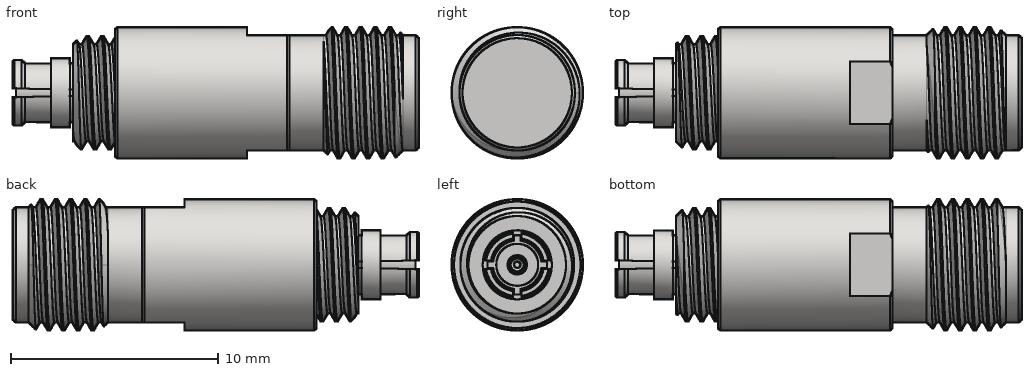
import cadquery as cq
import math


LENGTH = 19.61
BODY_RADIUS = 6.35 / 2

LIP_RADIUS = 3.20 / 2
LIP_BORE_RADIUS = 2.36 / 2
LIP_EDGE_CHAMFER = 0.08
LIP_BORE_CHAMFER = 0.10
LIP_LENGTH = 0.42
LIP_TAPER_END = 0.60
NECK_RADIUS = 2.87 / 2
RING_START = 1.84
RING_END = 2.76
RING_RADIUS = 3.34 / 2
FINGER_END = 2.91
SLOT_TIP_WIDTH = 0.42
SLOT_ROOT_WIDTH = 0.31
SLOT_COUNT = 4

INSULATOR_FRONT = 0.15
INSULATOR_RADIUS = 2.03 / 2
CONTACT_RADIUS = 0.93 / 2
CONTACT_TIP_RADIUS = 0.37
CONTACT_CHAMFER_DEPTH = 0.12
CONTACT_MOUTH_RADIUS = 0.32
CONTACT_HOLE_RADIUS = 0.15
CONTACT_CONE_DEPTH = 0.18
CONTACT_HOLE_DEPTH = 1.0

BODY_START = 4.93
BODY_END = 13.37
BODY_CHAMFER = 0.12
FLAT_START = 11.32

PITCH = 25.4 / 36
FLANK_ANGLE = 30
CREST_WIDTH = 0.10
THREAD_OVERLAP = 0.05
THREAD_RUNOUT = 0.50
ENVELOPE_CLEARANCE = 0.10

SMALL_THREAD_START = FINGER_END
SMALL_THREAD_END = BODY_START + PITCH
SMALL_THREAD_RADIUS = 5.50 / 2
SMALL_ROOT_RADIUS = 4.71 / 2
SMALL_CREST_X = 3.27

LARGE_THREAD_START = 15.02
LARGE_THREAD_END = 18.84
LARGE_THREAD_RADIUS = BODY_RADIUS
LARGE_ROOT_RADIUS = 5.58 / 2
LARGE_CREST_X = 15.75
END_CHAMFER = 0.15

FLAT_HEIGHT = LARGE_ROOT_RADIUS


def revolve_about_x(points):
    """Solid of revolution from an (x, radius) outline."""
    return cq.Workplane("XY").polyline(points).close().revolve(360, (0, 0, 0), (1, 0, 0))


def cylinder(start, end, radius):
    return cq.Workplane("YZ").workplane(offset=start).circle(radius).extrude(end - start)


def make_fingers():
    """Slotted sleeve with the snap lip, open around the insulator."""
    sleeve = revolve_about_x([
        (0, LIP_BORE_RADIUS + LIP_BORE_CHAMFER),
        (0, LIP_RADIUS - LIP_EDGE_CHAMFER),
        (LIP_EDGE_CHAMFER, LIP_RADIUS),
        (LIP_LENGTH, LIP_RADIUS),
        (LIP_TAPER_END, NECK_RADIUS),
        (FINGER_END, NECK_RADIUS),
        (FINGER_END, LIP_BORE_RADIUS),
        (LIP_BORE_CHAMFER, LIP_BORE_RADIUS),
    ])
    slot = (
        cq.Workplane("XY")
        .polyline([
            (0, -SLOT_TIP_WIDTH / 2),
            (FINGER_END, -SLOT_ROOT_WIDTH / 2),
            (FINGER_END, SLOT_ROOT_WIDTH / 2),
            (0, SLOT_TIP_WIDTH / 2),
        ])
        .close()
        .extrude(2 * LIP_RADIUS)
    )
    for i in range(SLOT_COUNT):
        sleeve = sleeve.cut(slot.rotate((0, 0, 0), (1, 0, 0), i * 360 / SLOT_COUNT))
    ring = cylinder(RING_START, RING_END, RING_RADIUS).cut(cylinder(RING_START, RING_END, NECK_RADIUS))
    return sleeve.union(ring)


def make_insulator():
    """Insulator with the chamfered, conically bored contact flush in its face."""
    front = INSULATOR_FRONT
    return revolve_about_x([
        (front + CONTACT_HOLE_DEPTH, 0),
        (front + CONTACT_HOLE_DEPTH, CONTACT_HOLE_RADIUS),
        (front + CONTACT_CONE_DEPTH, CONTACT_HOLE_RADIUS),
        (front, CONTACT_MOUTH_RADIUS),
        (front, CONTACT_TIP_RADIUS),
        (front + CONTACT_CHAMFER_DEPTH, CONTACT_RADIUS),
        (front, CONTACT_RADIUS),
        (front, INSULATOR_RADIUS),
        (FINGER_END, INSULATOR_RADIUS),
        (FINGER_END, 0),
    ])


def make_body():
    """Chamfered barrel with wrench flats on its +Z and -Z sides."""
    body = cylinder(BODY_START, BODY_END, BODY_RADIUS).faces("<X or >X").chamfer(BODY_CHAMFER)
    flat_length = BODY_END - FLAT_START
    cutter = (
        cq.Workplane("XY")
        .box(flat_length, 2 * BODY_RADIUS, BODY_RADIUS, centered=(False, True, False))
        .translate((FLAT_START, 0, FLAT_HEIGHT))
    )
    for side in (0, 180):
        body = body.cut(cutter.rotate((0, 0, 0), (1, 0, 0), side))
    return body


def make_thread(start, end, major_radius, root_radius, crest_x):
    """Helical ridge on a root cylinder, tapering out in height at both ends."""
    foot_radius = root_radius - THREAD_OVERLAP
    envelope_radius = major_radius + ENVELOPE_CLEARANCE
    half_crest = CREST_WIDTH / 2
    half_foot = half_crest + (major_radius - foot_radius) * math.tan(math.radians(FLANK_ANGLE))

    turns_before = math.ceil((crest_x - start) / PITCH) + 1
    helix_start = crest_x - turns_before * PITCH
    turns = math.ceil((end - helix_start) / PITCH) + 1
    helix = cq.Wire.makeHelix(PITCH, turns * PITCH, foot_radius)
    ridge = (
        cq.Workplane("XZ")
        .polyline([
            (foot_radius, -half_foot),
            (major_radius, -half_crest),
            (major_radius, half_crest),
            (foot_radius, half_foot),
        ])
        .close()
        .sweep(cq.Workplane(helix), isFrenet=True)
        .rotate((0, 0, 0), (0, 1, 0), 90)
        .translate((helix_start, 0, 0))
    )
    envelope = revolve_about_x([
        (start, 0),
        (start, root_radius),
        (start + THREAD_RUNOUT, envelope_radius),
        (end - THREAD_RUNOUT, envelope_radius),
        (end, root_radius),
        (end, 0),
    ])
    return cylinder(start, end, root_radius).union(ridge.intersect(envelope))


def make_plain_shank():
    shank = cylinder(BODY_END, LENGTH, LARGE_ROOT_RADIUS)
    return shank.faces(">X").chamfer(END_CHAMFER)


small_thread = make_thread(
    SMALL_THREAD_START, SMALL_THREAD_END, SMALL_THREAD_RADIUS, SMALL_ROOT_RADIUS, SMALL_CREST_X
)
large_thread = make_thread(
    LARGE_THREAD_START, LARGE_THREAD_END, LARGE_THREAD_RADIUS, LARGE_ROOT_RADIUS, LARGE_CREST_X
)

result = make_body()
for piece in (make_plain_shank(), large_thread, small_thread, make_insulator(), make_fingers()):
    result = result.union(piece)